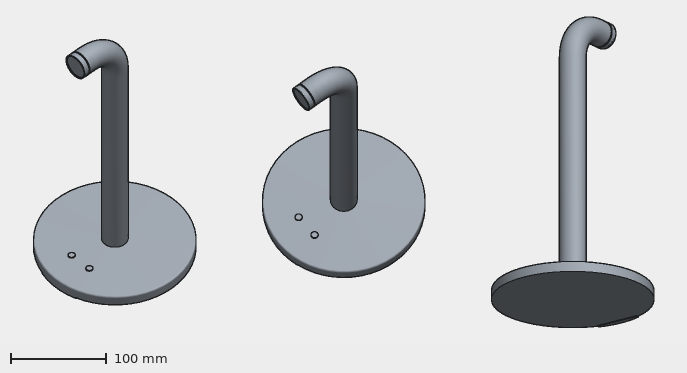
import cadquery as cq
import math

TOTAL_HEIGHT = 324.5
BASE_RADIUS = 84.88
BASE_EDGE_HEIGHT = 12.5
BASE_CENTER_HEIGHT = 15.0
RIM_ROUND = 2.0
FRONT_LIP_HEIGHT = 1.0
FRONT_LIP_START = 78.2
FRONT_LIP_WIDTH = 50.5

PIPE_RADIUS = 14.12
BEND_RADIUS = 41.0
SPOUT_REACH = 57.0
GROOVE_REACH = 49.3
GROOVE_WIDTH = 1.0
GROOVE_DEPTH = 0.5
END_RIM_WIDTH = 1.3
END_RECESS_DEPTH = 1.0

BUTTON_RADIUS = 4.0
BUTTON_TOP = 14.3
BUTTON_BEVEL = 0.3
BUTTON_X = 13.3
BUTTON_Y = -49.5

DIAGONAL = math.sqrt(0.5)
SPOUT_Z = TOTAL_HEIGHT - PIPE_RADIUS
BEND_START_Z = SPOUT_Z - BEND_RADIUS


def make_base():
    """Round base with a rounded rim, a slightly conical top and a low lip under its front edge."""
    disc = (
        cq.Workplane("XZ")
        .moveTo(0, FRONT_LIP_HEIGHT)
        .lineTo(BASE_RADIUS, FRONT_LIP_HEIGHT)
        .lineTo(BASE_RADIUS, BASE_EDGE_HEIGHT - RIM_ROUND)
        .threePointArc(
            (BASE_RADIUS - RIM_ROUND * (1 - DIAGONAL), BASE_EDGE_HEIGHT - RIM_ROUND * (1 - DIAGONAL)),
            (BASE_RADIUS - RIM_ROUND, BASE_EDGE_HEIGHT),
        )
        .lineTo(0, BASE_CENTER_HEIGHT)
        .close()
        .revolve(360, (0, 0, 0), (0, 1, 0))
    )
    lip_block = (
        cq.Workplane("XY")
        .center(0, -FRONT_LIP_START - BASE_RADIUS)
        .rect(FRONT_LIP_WIDTH, 2 * BASE_RADIUS)
        .extrude(BASE_EDGE_HEIGHT / 2)
    )
    lip = cq.Workplane("XY").circle(BASE_RADIUS).extrude(BASE_EDGE_HEIGHT / 2).intersect(lip_block)
    return disc.union(lip)


def make_pipe():
    """Upright post, quarter bend toward -Y and grooved end piece with a shallow recess in its face."""
    post_bottom = BASE_EDGE_HEIGHT / 2
    post = (
        cq.Workplane("XY", origin=(0, 0, post_bottom))
        .circle(PIPE_RADIUS)
        .extrude(BEND_START_Z - post_bottom)
    )
    bend = (
        cq.Workplane("XY", origin=(0, 0, BEND_START_Z))
        .circle(PIPE_RADIUS)
        .revolve(90, (0, -BEND_RADIUS, 0), (1, -BEND_RADIUS, 0))
    )
    spout = (
        cq.Workplane("XZ", origin=(0, -BEND_RADIUS, SPOUT_Z))
        .circle(PIPE_RADIUS)
        .extrude(SPOUT_REACH - BEND_RADIUS)
        .faces("<Y")
        .workplane()
        .circle(PIPE_RADIUS - END_RIM_WIDTH)
        .cutBlind(-END_RECESS_DEPTH)
    )
    groove = (
        cq.Workplane("XZ", origin=(0, -GROOVE_REACH, SPOUT_Z))
        .circle(PIPE_RADIUS + GROOVE_DEPTH)
        .circle(PIPE_RADIUS - GROOVE_DEPTH)
        .extrude(GROOVE_WIDTH)
    )
    return post.union(bend).union(spout.cut(groove))


def make_button(x):
    """Low bevelled button on the front of the base."""
    shoulder = BUTTON_TOP - BUTTON_BEVEL
    bottom = BASE_EDGE_HEIGHT / 2
    return (
        cq.Workplane("XZ", origin=(x, BUTTON_Y, 0))
        .moveTo(0, bottom)
        .lineTo(BUTTON_RADIUS, bottom)
        .lineTo(BUTTON_RADIUS, shoulder)
        .lineTo(BUTTON_RADIUS - BUTTON_BEVEL, BUTTON_TOP)
        .lineTo(0, BUTTON_TOP)
        .close()
        .revolve(360, (0, 0, 0), (0, 1, 0))
    )


result = make_base().union(make_pipe())
for button_x in (-BUTTON_X, BUTTON_X):
    result = result.union(make_button(button_x))